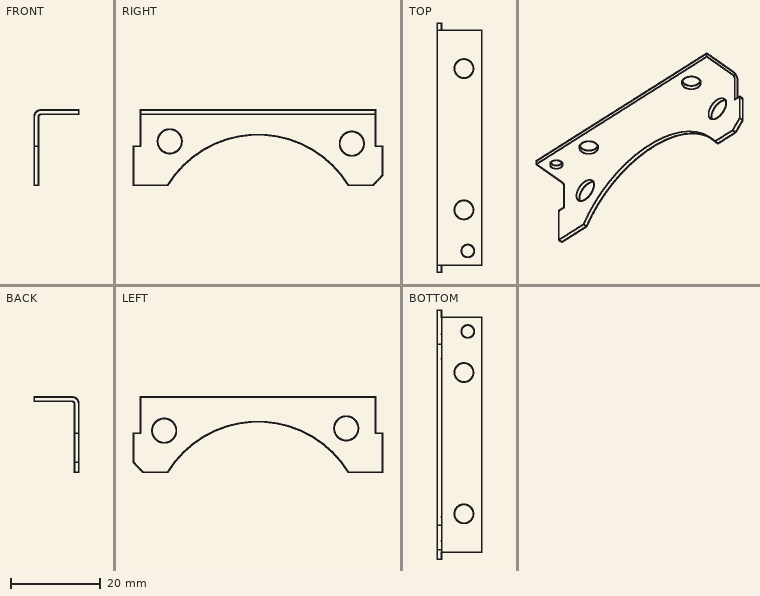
import cadquery as cq

SHEET = 1.016
INNER_BEND_RADIUS = 0.508
FLANGE_WIDTH = 10.06
WEB_HEIGHT = 16.97
LENGTH = 56.03
BODY_LENGTH = 52.83
TAB_DROP = 8.1
CORNER_CUT_Y = 2.2
CORNER_CUT_Z = 2.3

ARCH_RADIUS = 23.8
ARCH_APEX_DROP = 5.57

WEB_HOLE_DIAMETER = 5.41
WEB_HOLES = [(21.08, -7.57), (-19.83, -7.06)]
FLANGE_HOLE_DIAMETER = 4.22
FLANGE_HOLE_X = 6.02
FLANGE_HOLES = [(FLANGE_HOLE_X, 17.78), (FLANGE_HOLE_X, -13.97)]
PILOT_HOLE_DIAMETER = 2.82
PILOT_HOLES = [(6.89, -23.2)]

OUTER_BEND_RADIUS = INNER_BEND_RADIUS + SHEET
BODY_HALF = BODY_LENGTH / 2
TAB_HALF = LENGTH / 2
ARCH_CENTER = (0, -ARCH_APEX_DROP - ARCH_RADIUS)


def folded_angle():
    """Bent L section, running the body length along Y."""
    return (
        cq.Workplane("XZ")
        .moveTo(0, -WEB_HEIGHT)
        .lineTo(0, -OUTER_BEND_RADIUS)
        .radiusArc((OUTER_BEND_RADIUS, 0), OUTER_BEND_RADIUS)
        .lineTo(FLANGE_WIDTH, 0)
        .lineTo(FLANGE_WIDTH, -SHEET)
        .lineTo(OUTER_BEND_RADIUS, -SHEET)
        .radiusArc((SHEET, -OUTER_BEND_RADIUS), -INNER_BEND_RADIUS)
        .lineTo(SHEET, -WEB_HEIGHT)
        .close()
        .extrude(BODY_HALF, both=True)
    )


def end_tabs():
    """Lower strip of the web, reaching past the folded length at both ends."""
    tab_height = WEB_HEIGHT - TAB_DROP
    return (
        cq.Workplane("XY")
        .workplane(offset=-WEB_HEIGHT)
        .box(SHEET, LENGTH, tab_height, centered=(False, True, False))
    )


def corner_cut():
    """Triangular prism removing the lower +Y corner of the web."""
    return (
        cq.Workplane("YZ")
        .moveTo(TAB_HALF, -WEB_HEIGHT)
        .lineTo(TAB_HALF, -WEB_HEIGHT + CORNER_CUT_Z)
        .lineTo(TAB_HALF - CORNER_CUT_Y, -WEB_HEIGHT)
        .close()
        .extrude(SHEET)
    )


def web_cylinders(centers, diameter):
    """Cylinders along X through the web, at (Y, Z) centres."""
    return cq.Workplane("YZ").pushPoints(centers).circle(diameter / 2).extrude(SHEET)


def flange_cylinders(centers, diameter):
    """Cylinders along Z through the top flange, at (X, Y) centres."""
    return cq.Workplane("XY").pushPoints(centers).circle(diameter / 2).extrude(-SHEET)


result = (
    folded_angle()
    .union(end_tabs())
    .cut(corner_cut())
    .cut(web_cylinders([ARCH_CENTER], 2 * ARCH_RADIUS))
    .cut(web_cylinders(WEB_HOLES, WEB_HOLE_DIAMETER))
    .cut(flange_cylinders(FLANGE_HOLES, FLANGE_HOLE_DIAMETER))
    .cut(flange_cylinders(PILOT_HOLES, PILOT_HOLE_DIAMETER))
)